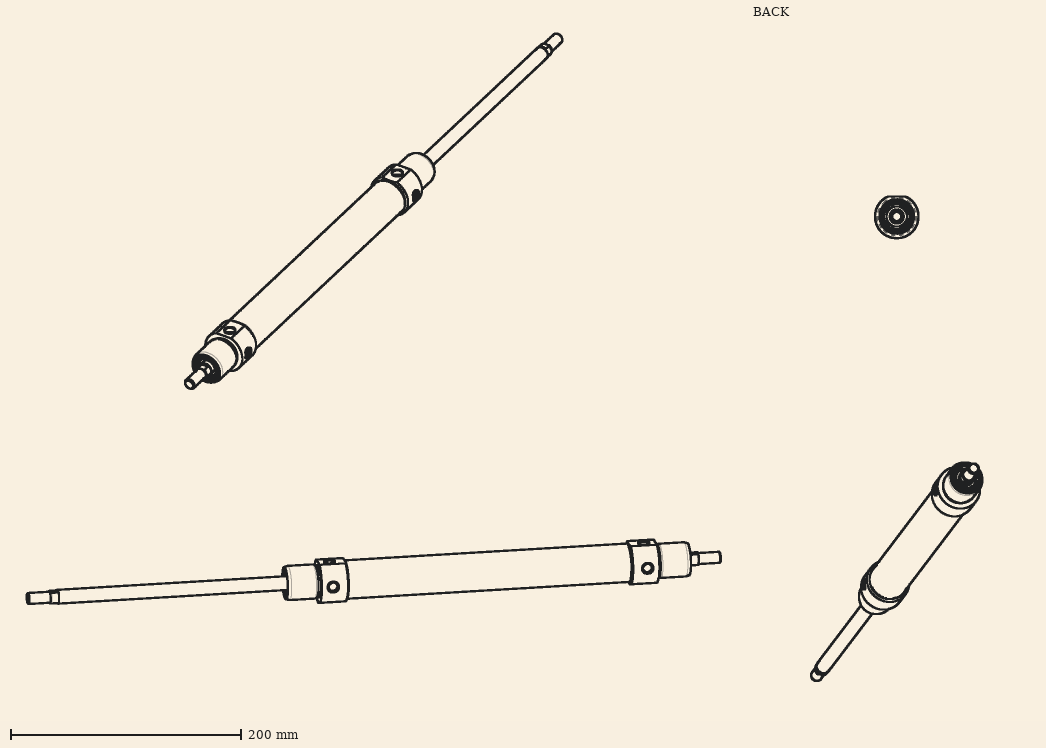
import cadquery as cq

total_length = 612.0
front_overhang = 28.0
rear_overhang = 227.5
front_end = front_overhang
rear_end = total_length - rear_overhang

tube_dia = 33.5
tube_bore = 32.0

head_dia = 38.0
boss_dia = 30.0
neck_dia = 28.0
boss_length = 27.0
neck_length = 2.15
head_length = 53.0
boss_end_dia = 28.0
boss_end_taper = 3.0
boss_neck_taper = 2.0
boss_neck_inset = 0.2
rim_taper = 1.0
flat_depth = 1.5
flat_height = head_dia / 2 - flat_depth

recess_mouth_dia = 24.5
recess_taper = 0.9
step_dia = 22.0
step_depth = 2.0
seat_dia = 18.0
seat_depth = 3.5

port_distance = 39.0
mouth_dia = 10.0
port_dia = 8.5
port_mouth_depth = 0.5
port_depth = 5.0
orifice_dia = 3.0
socket_dia = 8.0
socket_mouth_depth = 1.0
socket_depth = 2.5

rod_dia = 12.0
thread_dia = 10.0
thread_length = 19.5
thread_chamfer = 0.9
collar_dia = 11.5
collar_length = 7.5
collar_inset = 0.2
collar_taper = 1.0
flat_spacing = 10.0
flat_length = 6.0


def turned(points):
    """Solid of revolution about Y from (radius, y) points of an outline."""
    return cq.Workplane("XY").polyline(points).close().revolve(360, (0, 0, 0), (0, 1, 0))


def disc(diameter, start, length):
    """Cylinder on the Y axis, reaching from `start` towards +Y."""
    return cq.Workplane("XZ", origin=(0, start, 0)).circle(diameter / 2).extrude(-length)


def stepped_hole(plane, mouth_depth, hole_dia, depth):
    """Cutter that goes `depth` below `plane`, widened to `mouth_dia` down to `mouth_depth`."""
    hole = cq.Workplane(plane).circle(hole_dia / 2).extrude(-depth)
    return hole.union(cq.Workplane(plane).circle(mouth_dia / 2).extrude(-mouth_depth))


def make_head():
    """Front head with its outer end at Y = 0."""
    rim_start = boss_length + neck_length
    head = turned([
        (rod_dia / 2, seat_depth),
        (seat_dia / 2, seat_depth),
        (seat_dia / 2, step_depth),
        (step_dia / 2, step_depth),
        (step_dia / 2, recess_taper),
        (recess_mouth_dia / 2, 0),
        (boss_end_dia / 2, 0),
        (boss_dia / 2, boss_end_taper),
        (boss_dia / 2, boss_length - boss_neck_taper),
        (boss_dia / 2 - boss_neck_inset, boss_length),
        (neck_dia / 2, boss_length),
        (neck_dia / 2, rim_start),
        (head_dia / 2, rim_start),
        (head_dia / 2, head_length - rim_taper),
        (tube_dia / 2, head_length),
        (rod_dia / 2, head_length),
    ])

    above_flat = cq.Workplane("XY", origin=(0, head_length / 2, flat_height)).box(
        head_dia, head_length, head_dia, centered=(True, True, False)
    )
    head = head.cut(above_flat)

    port_plane = cq.Plane(origin=(0, port_distance, flat_height), xDir=(1, 0, 0), normal=(0, 0, 1))
    head = head.cut(stepped_hole(port_plane, port_mouth_depth, port_dia, port_depth))
    head = head.cut(cq.Workplane(port_plane).circle(orifice_dia / 2).extrude(-flat_height))

    for side in (-1, 1):
        socket_plane = cq.Plane(
            origin=(side * head_dia / 2, port_distance, 0), xDir=(0, 1, 0), normal=(side, 0, 0)
        )
        head = head.cut(stepped_hole(socket_plane, socket_mouth_depth, socket_dia, socket_depth))
    return head


def make_tube():
    start = front_end + head_length
    length = rear_end - head_length - start
    return disc(tube_dia, start, length).cut(disc(tube_bore, start, length))


def make_rod_half():
    """Front half of the rod, with its tip at Y = 0."""
    collar_end = thread_length + collar_length
    half = turned([
        (0, 0),
        (thread_dia / 2 - thread_chamfer, 0),
        (thread_dia / 2, thread_chamfer),
        (thread_dia / 2, thread_length),
        (collar_dia / 2 - collar_inset, thread_length),
        (collar_dia / 2, thread_length + collar_taper),
        (collar_dia / 2, collar_end),
        (rod_dia / 2, collar_end),
        (rod_dia / 2, total_length / 2),
        (0, total_length / 2),
    ])
    for side in (-1, 1):
        shaving = cq.Workplane("XY").box(rod_dia, flat_length, rod_dia)
        half = half.cut(
            shaving.translate((0, thread_length + flat_length / 2, side * (flat_spacing + rod_dia) / 2))
        )
    return half


def make_rod():
    half = make_rod_half()
    return half.union(half.mirror("XZ").translate((0, total_length, 0))).clean()


front_head = make_head().translate((0, front_end, 0))
rear_head = make_head().mirror("XZ").translate((0, rear_end, 0))
tube = make_tube()
rod = make_rod()

result = cq.Compound.makeCompound([tube.val(), front_head.val(), rear_head.val(), rod.val()])